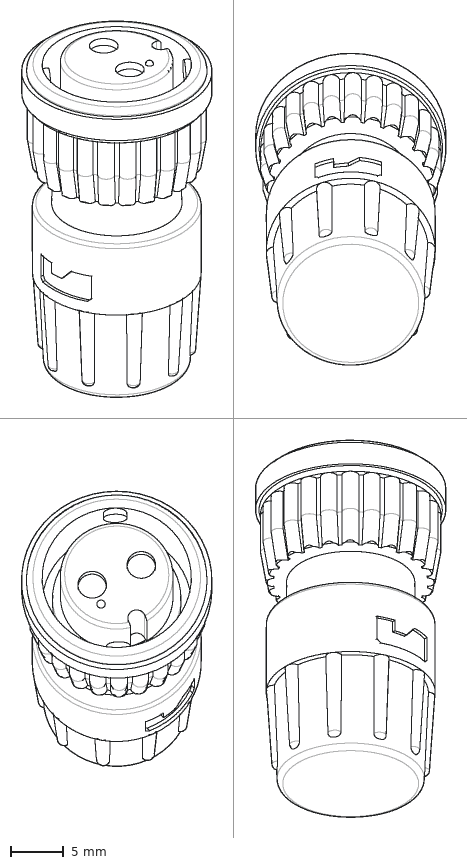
import cadquery as cq

rib_end_z = 1.25
sleeve_z = 9.85
body_top_z = 17.5
ring_bottom_z = 21.78
flute_bend_z = 25.05
collar_step_z = 29.07
band_bottom_z = 29.6
band_top_z = 31.95
collar_top_z = 32.68
insert_face_z = 33.42
total_height = 33.75

nut_end_radius = 6.95
nut_top_radius = 7.35
body_radius = 8.0
neck_base_radius = 6.18
tube_radius = 6.08
tube_bore_radius = 5.05
collar_radius = 8.55
step_radius = 8.68
band_radius = 9.0
cavity_radius = 7.05
insert_radius = 5.35
nut_end_fillet = 0.55
body_fillet = 0.35
collar_fillet = 0.6
insert_fillet = 0.4

flute_count = 24
flute_radius = 0.8
flute_phase = 83.4
flute_taper = 0.55
flute_circle = collar_radius - flute_radius
flute_root_radius = 7.85
flute_tip_chamfer = 0.15

rib_count = 10
rib_phase = 92.0
rib_top_radius = 0.78
rib_end_radius = 0.65
rib_top_reach = body_radius
rib_end_reach = 7.45
rib_end_fillet = 0.5

cavity_floor_z = 25.65
tube_top_z = 27.7
tube_rim_radius = (tube_radius - tube_bore_radius) / 2
rim_start_z = tube_top_z - tube_rim_radius
pin_angle = 68.0
pin_radius = 1.1
pin_length = 0.6
pin_wall_overlap = 0.35
pin_center_z = 31.45

contact_spacing = 5.05
contact_radius = 1.35
contact_depth = 0.75
key_width = 1.65
key_center_y = 4.75
key_floor_z = rim_start_z
pip_radius = 0.4
pip_y = 2.13

window_angle = 20.0
window_depth = 0.35
window_bottom_z = 11.07
window_top_z = 13.9
tooth_bottom_z = 12.75
window_width = 6.3
tooth_left = -1.35
tooth_right = 0.05
tooth_slope_end = 1.1
window_chamfer = 0.37


def cylinder(radius, bottom, top):
    """Upright cylinder on the connector axis."""
    return cq.Workplane("XY").workplane(offset=bottom).circle(radius).extrude(top - bottom)


def loft_circles(center_low, radius_low, z_low, center_high, radius_high, z_high):
    """Round bar leaning in the XZ plane, with flat ends."""
    return (
        cq.Workplane("XY", origin=(0, 0, z_low)).center(center_low, 0).circle(radius_low)
        .workplane(offset=z_high - z_low).center(center_high - center_low, 0).circle(radius_high)
        .loft(ruled=True)
    )


def cone(radius_low, bottom, radius_high, top):
    """Upright tapered cylinder on the connector axis."""
    return loft_circles(0, radius_low, bottom, 0, radius_high, top)


def around_axis(shape, count, phase):
    """Copies of a shape spread evenly about the axis."""
    return [shape.rotate((0, 0, 0), (0, 0, 1), phase + i * 360.0 / count) for i in range(count)]


def join(base, parts):
    """Fuse several shapes to a base in one step."""
    return cq.Workplane(base.val().fuse(*[part.val() for part in parts]))


def make_nut():
    """Tapered clamping nut with round-ended ribs."""
    nut = cone(nut_end_radius, 0, nut_top_radius, sleeve_z)
    nut = nut.faces("<Z").edges().fillet(nut_end_fillet)
    rib = loft_circles(
        rib_end_radius - rib_end_reach, rib_end_radius, rib_end_z,
        rib_top_radius - rib_top_reach, rib_top_radius, sleeve_z,
    )
    rib = rib.faces("<Z").edges().fillet(rib_end_fillet)
    return join(nut, around_axis(rib, rib_count, rib_phase))


def make_window():
    """Cutter for one window on the -Y side: a rectangle with a sloped tooth in its top edge."""
    window_right = window_width / 2
    window_left = -window_right
    outline = (
        cq.Workplane("XZ")
        .moveTo(window_left, window_bottom_z + window_chamfer)
        .lineTo(window_left, window_top_z)
        .lineTo(tooth_left, window_top_z)
        .lineTo(tooth_left, tooth_bottom_z)
        .lineTo(tooth_right, tooth_bottom_z)
        .lineTo(tooth_slope_end, window_top_z)
        .lineTo(window_right, window_top_z)
        .lineTo(window_right, window_bottom_z + window_chamfer)
        .lineTo(window_right - window_chamfer, window_bottom_z)
        .lineTo(window_left + window_chamfer, window_bottom_z)
        .close().extrude(2 * body_radius)
    )
    floor = cylinder(body_radius - window_depth, sleeve_z, body_top_z)
    return outline.cut(floor)


def make_body():
    """Plain rear body with two opposite windows."""
    body = cylinder(body_radius, sleeve_z, body_top_z).faces(">Z").edges().fillet(body_fillet)
    for copy in around_axis(make_window(), 2, window_angle):
        body = body.cut(copy)
    return body


def make_ring():
    """Coupling ring: fluted grip, step, band and rounded collar."""
    ring = cylinder(flute_root_radius, flute_bend_z, collar_step_z)
    ring = ring.union(
        cone(flute_root_radius - flute_taper, ring_bottom_z, flute_root_radius, flute_bend_z)
    )
    straight = cylinder(flute_radius, flute_bend_z, collar_step_z).translate((-flute_circle, 0, 0))
    leaning = loft_circles(
        flute_taper - flute_circle, flute_radius, ring_bottom_z,
        -flute_circle, flute_radius, flute_bend_z,
    )
    chamfer_radius = collar_radius - flute_taper - flute_tip_chamfer
    leaning_height = flute_bend_z - ring_bottom_z
    chamfer_cone = cone(chamfer_radius, ring_bottom_z, chamfer_radius + leaning_height, flute_bend_z)
    flute = straight.union(leaning.intersect(chamfer_cone))
    ring = join(ring, around_axis(flute, flute_count, flute_phase))
    ring = ring.union(cone(collar_radius, collar_step_z, step_radius, band_bottom_z))
    ring = ring.union(cylinder(band_radius, band_bottom_z, band_top_z))
    collar = cylinder(collar_radius, band_top_z, collar_top_z)
    return ring.union(collar.faces(">Z").edges().fillet(collar_fillet))


def make_pin():
    """Round bayonet pin pointing inward from the cavity wall, on the +X side."""
    inner_end = cavity_radius - pin_length
    return (
        cq.Workplane("YZ", origin=(inner_end, 0, pin_center_z))
        .circle(pin_radius).extrude(pin_length + pin_wall_overlap)
    )


def make_insert():
    """Contact insert standing in the cavity inside a tube with a fully rounded rim."""
    insert = cylinder(insert_radius, cavity_floor_z, insert_face_z)
    insert = insert.faces(">Z").edges().fillet(insert_fillet)
    key = cylinder(key_width / 2, key_floor_z, insert_face_z)
    key = key.union(
        cq.Workplane("XY").workplane(offset=key_floor_z).center(0, insert_radius / 2)
        .rect(key_width, insert_radius).extrude(insert_face_z - key_floor_z)
    )
    insert = insert.cut(key.translate((0, key_center_y, 0)))
    tube = (
        cq.Workplane("XZ")
        .moveTo(tube_bore_radius, cavity_floor_z)
        .lineTo(tube_radius, cavity_floor_z)
        .lineTo(tube_radius, rim_start_z)
        .threePointArc((tube_radius - tube_rim_radius, tube_top_z), (tube_bore_radius, rim_start_z))
        .close().revolve(360, (0, 0, 0), (0, 1, 0))
    )
    insert = insert.union(tube)
    contacts = (
        cq.Workplane("XY").workplane(offset=insert_face_z)
        .pushPoints([(-contact_spacing / 2, 0), (contact_spacing / 2, 0)])
        .circle(contact_radius).extrude(-contact_depth)
    )
    pip_center_z = total_height - pip_radius
    pip = cq.Workplane("XY").sphere(pip_radius).translate((contact_spacing / 2, pip_y, pip_center_z))
    return insert.cut(contacts).union(pip)


neck = cone(neck_base_radius, body_top_z, tube_radius, ring_bottom_z)
cavity = cylinder(cavity_radius, cavity_floor_z, collar_top_z)
shell = make_nut().union(make_body()).union(neck).union(make_ring()).cut(cavity)
result = join(shell, around_axis(make_pin(), 2, pin_angle)).union(make_insert())